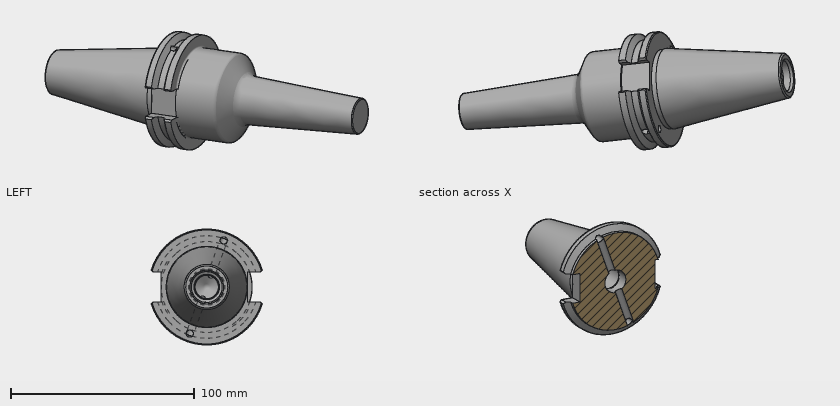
import cadquery as cq
import math

total_length = 188.2

taper_length = 68.3
taper_gauge_radius = 22.2
taper_slope = (7 / 24) / 2
taper_end_radius = taper_gauge_radius - taper_slope * taper_length
taper_end_chamfer = 0.8
relief_radius = 21.8
relief_ramp = 1.3

flange_start = 71.2
flange_end = 87.2
flange_diameter = 63.5
flange_radius = flange_diameter / 2
flange_chamfer = 0.5
groove_center = 79.3
groove_radius = 28.0
groove_floor_width = 3.8
groove_flank_angle = 30.0
groove_flank_width = (flange_radius - groove_radius) * math.tan(math.radians(groove_flank_angle))

body_radius = 24.8
body_fillet = 1.0
collar_end = flange_end + 2 * body_fillet
shoulder_start = 111.3
shoulder_end = 118.8
shoulder_edge_fillet = 1.9
shoulder_root_fillet = 3.8
nose_root_radius = 13.5
nose_tip_radius = 10.0
nose_tip_chamfer = 0.5

slot_width = 16.2
front_slot_floor = 22.4
back_slot_floor = 25.0
slot_chamfer = 1.1
cut_clearance = 1.9

bore_mouth_radius = 9.2
bore_mouth_depth = 1.5
counterbore_radius = 8.5
counterbore_depth = 5.5
counterbore_step_depth = 0.8
thread_radius = 7.0
thread_depth = 71.5
drill_radius = 6.4
drill_depth = 80.5
drill_point_half_angle = 59.0

passage_diameter = 4.0
passage_angle = 20.0
inlet_radius = 27.1


def revolve_about_x(points):
    """Turn an (x, radius) outline about the X axis."""
    return cq.Workplane("XZ").polyline(points).close().revolve(360, (0, 0, 0), (1, 0, 0))


def edge_at(x, radius):
    """Box selector that catches one full circle of the given place and radius."""
    margin = 0.1
    low = (x - margin, -radius - margin, -radius - margin)
    high = (x + margin, radius + margin, radius + margin)
    return cq.selectors.BoxSelector(low, high, boundingbox=True)


def make_taper():
    return revolve_about_x([
        (0, 0),
        (0, taper_end_radius - taper_end_chamfer),
        (taper_end_chamfer, taper_end_radius + taper_slope * taper_end_chamfer),
        (taper_length, taper_gauge_radius),
        (taper_length + relief_ramp, relief_radius),
        (flange_start, relief_radius),
        (flange_start, 0),
    ])


def make_flange():
    floor_start = groove_center - groove_floor_width / 2
    floor_end = groove_center + groove_floor_width / 2
    flange = revolve_about_x([
        (flange_start, 0),
        (flange_start, flange_radius - flange_chamfer),
        (flange_start + flange_chamfer, flange_radius),
        (floor_start - groove_flank_width, flange_radius),
        (floor_start, groove_radius),
        (floor_end, groove_radius),
        (floor_end + groove_flank_width, flange_radius),
        (flange_end, flange_radius),
        (flange_end, body_radius),
        (collar_end, body_radius),
        (collar_end, 0),
    ])
    return flange.edges(edge_at(flange_end, body_radius)).fillet(body_fillet)


def make_slot(floor, side):
    """Drive slot through the flange on the given Y side, flared at the rim."""
    half = slot_width / 2
    rim = math.sqrt(flange_radius ** 2 - (half + slot_chamfer) ** 2)
    flare_start = rim - slot_chamfer
    outside = flange_radius + cut_clearance
    flare_half = half + outside - flare_start
    profile = [
        (side * floor, -half),
        (side * flare_start, -half),
        (side * outside, -flare_half),
        (side * outside, flare_half),
        (side * flare_start, half),
        (side * floor, half),
    ]
    length = collar_end - flange_start
    return cq.Workplane("YZ", origin=(flange_start, 0, 0)).polyline(profile).close().extrude(length)


def make_body():
    body = revolve_about_x([
        (flange_start, 0),
        (flange_start, front_slot_floor),
        (flange_end, front_slot_floor),
        (flange_end, body_radius),
        (shoulder_start, body_radius),
        (shoulder_end, nose_root_radius),
        (total_length - nose_tip_chamfer, nose_tip_radius),
        (total_length, nose_tip_radius - nose_tip_chamfer),
        (total_length, 0),
    ])
    body = body.edges(edge_at(shoulder_start, body_radius)).fillet(shoulder_edge_fillet)
    return body.edges(edge_at(shoulder_end, nose_root_radius)).fillet(shoulder_root_fillet)


def make_bore():
    step_end = counterbore_depth + counterbore_step_depth
    point_length = drill_radius / math.tan(math.radians(drill_point_half_angle))
    return revolve_about_x([
        (0, 0),
        (0, bore_mouth_radius),
        (bore_mouth_depth, counterbore_radius),
        (counterbore_depth, counterbore_radius),
        (step_end, thread_radius),
        (thread_depth, thread_radius),
        (thread_depth, drill_radius),
        (drill_depth, drill_radius),
        (drill_depth + point_length, 0),
    ])


def make_coolant_passage(turn):
    """Axial inlet in the flange face joined to a radial hole from the groove into the bore."""
    hole_radius = passage_diameter / 2
    inlet = (
        cq.Workplane("YZ", origin=(flange_start, 0, 0))
        .center(0, inlet_radius)
        .circle(hole_radius)
        .extrude(groove_center - flange_start)
    )
    radial_hole = cq.Workplane("XY").center(groove_center, 0).circle(hole_radius).extrude(flange_radius)
    return inlet.union(radial_hole).rotate((0, 0, 0), (1, 0, 0), turn)


flange = make_flange()
flange = flange.cut(make_slot(front_slot_floor, -1))
flange = flange.cut(make_slot(back_slot_floor, 1))

result = make_taper().union(flange).union(make_body())
result = result.cut(make_bore())
for half_turn in (0, 180):
    result = result.cut(make_coolant_passage(passage_angle + half_turn))